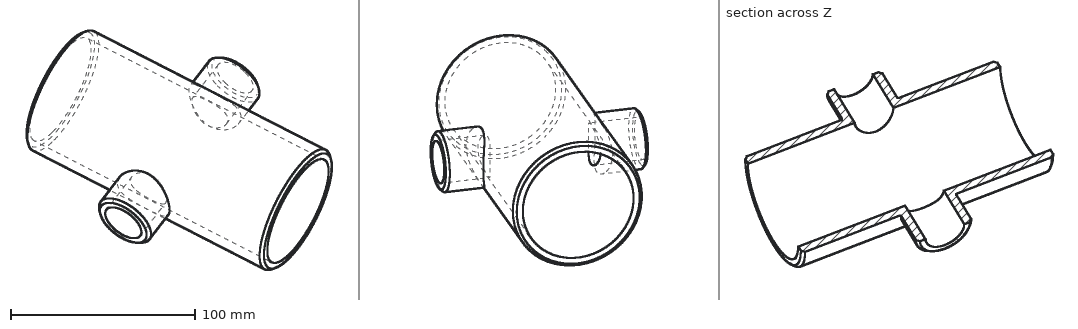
import cadquery as cq

run_length = 152.4
run_diameter = 73.025
branch_span = 114.3
branch_diameter = 33.53
wall = 5.16
bevel = wall / 3


def bevelled_rod(plane, length, diameter):
    """Solid rod centred on the origin, with both end edges bevelled."""
    rod = cq.Workplane(plane).circle(diameter / 2).extrude(length / 2, both=True)
    return rod.edges("%CIRCLE").chamfer(bevel)


def bore(plane, length, diameter):
    """Cylinder that hollows a pipe of the given outside diameter."""
    return cq.Workplane(plane).circle(diameter / 2 - wall).extrude(length / 2, both=True)


run = bevelled_rod("YZ", run_length, run_diameter)
branches = bevelled_rod("XZ", branch_span, branch_diameter)
run_bore = bore("YZ", run_length, run_diameter)
branch_bore = bore("XZ", branch_span, branch_diameter)

result = run.union(branches).cut(run_bore).cut(branch_bore)